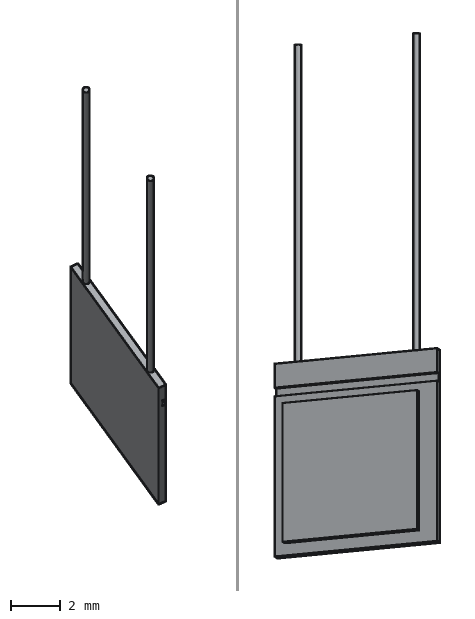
import cadquery as cq

overall_height = 21.2
plate_width = 6.98
plate_thickness = 0.34
plate_height = 8.02

overall_depth = 0.6
pad_depth = overall_depth - plate_thickness
pad_width = 5.77
pad_height = 5.77
pad_left = 0.76
pad_bottom = 0.5

groove_height = 0.35
groove_depth = 0.17
groove_bottom = 6.65

lead_diameter = 0.28
lead_spacing = 5.1
lead_length = overall_height - plate_height


def box_at(x, y, z, width, depth, height):
    """A box with its lowest corner at (x, y, z)."""
    return cq.Workplane("XY").box(width, depth, height, centered=False).translate((x, y, z))


def make_plate():
    """The plate with its back pad and the groove running through its full width."""
    plate = box_at(0, 0, 0, plate_width, plate_thickness, plate_height)
    pad = box_at(pad_left, plate_thickness, pad_bottom, pad_width, pad_depth, pad_height)
    groove = box_at(
        0, plate_thickness - groove_depth, groove_bottom, plate_width, groove_depth, groove_height
    )
    return plate.union(pad).cut(groove)


def make_lead(x):
    """One straight round lead, centred in the plate thickness."""
    return (
        cq.Workplane("XY", origin=(x, plate_thickness / 2, plate_height))
        .circle(lead_diameter / 2)
        .extrude(lead_length)
    )


plate = make_plate()
leads = []
for side in (-1, 1):
    lead_x = plate_width / 2 + side * lead_spacing / 2
    leads.append(make_lead(lead_x))

result = cq.Compound.makeCompound([plate.val(), *[lead.val() for lead in leads]])